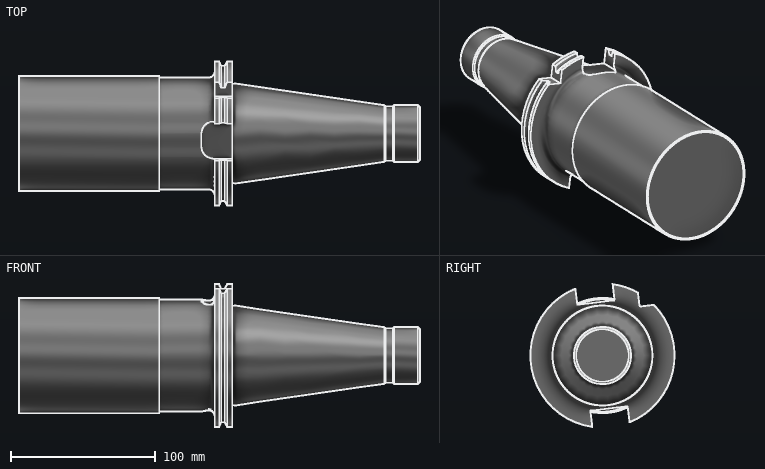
import cadquery as cq

total_length = 277.5
sleeve_length = 97.0
sleeve_diameter = 80.0
body_diameter = 77.7

flange_diameter = 100.0
flange_start = 135.5
flange_end = 147.5
flange_fillet = 4.2
groove_start = 138.5
groove_floor_start = 139.9
groove_floor_end = 142.4
groove_end = 144.0
groove_depth = 3.0

collar_diameter = 68.8
taper_start = 149.8
taper_diameter = 69.5
taper_end = 252.5
taper_rate = 7 / 24
neck_diameter = 38.0
neck_end = 259.7
neck_bevel = 1.0
tail_diameter = 39.7
tail_chamfer = 1.7

slot_tilt = 7.0
slot_width = 25.8
slot_floor = 37.0
slot_start = 126.3
slot_corner_radius = 8.3
notch_wall = 29.7
notch_floor = 30.5
cut_size = 55.5


def make_sleeve():
    """Thin sleeve around the front of the holder body, flush with its end."""
    return (
        cq.Workplane("YZ")
        .circle(sleeve_diameter / 2)
        .circle(body_diameter / 2)
        .extrude(sleeve_length)
    )


def make_turned_holder():
    """Body, grooved flange and taper shank as one revolved profile."""
    body_radius = body_diameter / 2
    flange_radius = flange_diameter / 2
    groove_radius = flange_radius - groove_depth
    taper_end_radius = (taper_diameter - taper_rate * (taper_end - taper_start)) / 2
    neck_radius = neck_diameter / 2
    tail_radius = tail_diameter / 2
    profile = (
        cq.Workplane("XY")
        .lineTo(0, body_radius)
        .lineTo(flange_start - flange_fillet, body_radius)
        .radiusArc((flange_start, body_radius + flange_fillet), -flange_fillet)
        .lineTo(flange_start, flange_radius)
        .lineTo(groove_start, flange_radius)
        .lineTo(groove_floor_start, groove_radius)
        .lineTo(groove_floor_end, groove_radius)
        .lineTo(groove_end, flange_radius)
        .lineTo(flange_end, flange_radius)
        .lineTo(flange_end, collar_diameter / 2)
        .lineTo(taper_start, taper_diameter / 2)
        .lineTo(taper_end, taper_end_radius)
        .lineTo(taper_end + neck_bevel, neck_radius)
        .lineTo(neck_end - neck_bevel, neck_radius)
        .lineTo(neck_end, tail_radius)
        .lineTo(total_length - tail_chamfer, tail_radius)
        .lineTo(total_length, tail_radius - tail_chamfer)
        .lineTo(total_length, 0)
        .close()
    )
    return profile.revolve(360, (0, 0, 0), (1, 0, 0))


def make_drive_slot(angle):
    """Cutter for a flat-floored slot with a rounded blind end."""
    return (
        cq.Workplane("XY")
        .box(flange_end - slot_start, slot_width, cut_size, centered=(False, True, False))
        .edges("|Z and <X")
        .fillet(slot_corner_radius)
        .translate((slot_start, 0, slot_floor))
        .rotate((0, 0, 0), (1, 0, 0), angle)
    )


def make_notch():
    """Cutter for the corner notch across the full flange thickness."""
    return (
        cq.Workplane("XY")
        .box(flange_end - flange_start, cut_size, cut_size, centered=False)
        .translate((flange_start, notch_wall, notch_floor))
        .rotate((0, 0, 0), (1, 0, 0), slot_tilt)
    )


def make_holder():
    """Turned holder with two opposite drive slots and the notch."""
    holder = make_turned_holder()
    for half_turn in (0, 180):
        holder = holder.cut(make_drive_slot(slot_tilt + half_turn))
    return holder.cut(make_notch())


sleeve = make_sleeve()
holder = make_holder()

result = cq.Compound.makeCompound([sleeve.val(), holder.val()])